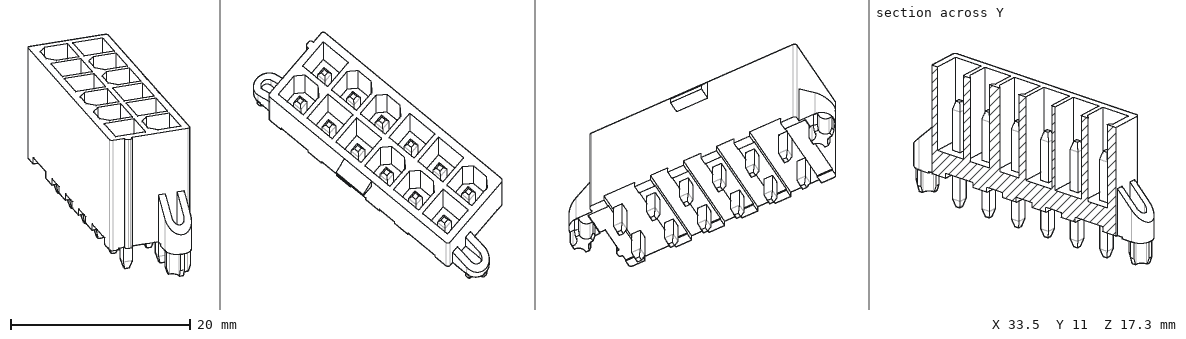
import cadquery as cq
import math

overall_length = 33.45
housing_length = 26.3
housing_depth = 9.57
housing_height = 13.62
corner_radius = 0.35

columns = 6
column_span = 21.0
pitch = column_span / (columns - 1)
column_positions = [i * pitch - column_span / 2 for i in range(columns)]
back_row = pitch / 2
front_row = -pitch / 2

cavity_length = 3.65
cavity_depth = 3.58
cavity_floor = 3.35
cavity_offset_y = 0.05
key_cut = 0.87
keyed_columns = {back_row: (1, 2, 5), front_row: (0, 3, 4)}

pin_width = 1.1
pin_tip_width = 0.55
pin_taper = 1.0
pin_top = 9.37
pin_bottom = -3.65
pin_offset_y = 0.2

notch_height = 0.8
notch_half_span = 11.2
pad_width = 2.0
channel_height = 0.2
channel_depth = 7.55
channel_length = 27.65

ear_width = 3.08
ear_radius = ear_width / 2
ear_y = 2.48
ear_x = overall_length / 2 - ear_radius
ear_outer_height = 2.4
ear_slot_width = 1.4
ear_slot_floor = notch_height
peg_radius = 1.47
peg_length = 2.85
peg_rib_width = 0.5
peg_flute_radius = 0.85
peg_tip_inset = 0.27
peg_tip_height = 0.85

latch_width = 3.95
latch_reach = 1.45
latch_bottom = 10.57
latch_lip_top = 11.25

rib_y = -2.68
rib_width = 0.87
rib_reach = 0.45
rib_rounding = 0.3


def centred_box(length, depth, bottom, top, x=0.0, y=0.0):
    """Box centred on (x, y) and spanning bottom to top in Z."""
    box = cq.Workplane("XY", origin=(x, y, bottom))
    return box.rect(length, depth).extrude(top - bottom)


def make_housing():
    housing = centred_box(housing_length, housing_depth, 0, housing_height)
    return housing.edges("|Z").fillet(corner_radius)


def make_cavity(x, y, keyed):
    cavity = centred_box(cavity_length, cavity_depth, cavity_floor, housing_height, x, y)
    if keyed:
        cavity = cavity.faces("<Y").edges("|Z").chamfer(key_cut)
    return cavity


def make_pin_end(x, y, z, direction):
    """Tapered pin end starting at height z; direction is +1 upward, -1 downward."""
    end = cq.Workplane("XY", origin=(x, y, z)).rect(pin_width, pin_width)
    end = end.workplane(offset=direction * pin_taper)
    return end.rect(pin_tip_width, pin_tip_width).loft(ruled=True)


def make_pin(x, y):
    shank_bottom = pin_bottom + pin_taper
    shank_top = pin_top - pin_taper
    shank = centred_box(pin_width, pin_width, shank_bottom, shank_top, x, y)
    return shank.union(make_pin_end(x, y, shank_bottom, -1)).union(make_pin_end(x, y, shank_top, 1))


def make_underside_relief():
    """Notches running front to back between the pads, and a shallow channel along X."""
    relief = centred_box(2 * notch_half_span, housing_depth, 0, notch_height)
    for x in column_positions[1:-1]:
        relief = relief.cut(centred_box(pad_width, housing_depth, 0, notch_height, x))
    return relief.union(centred_box(channel_length, channel_depth, 0, channel_height))


def make_peg():
    """Right-hand peg: a cross of four ribs joined by concave flutes, tapered at the tip."""
    straight_length = peg_length - peg_tip_height
    peg = cq.Workplane("XY", origin=(ear_x, ear_y, 0)).circle(peg_radius).extrude(-straight_length)
    tip = cq.Workplane("XY", origin=(ear_x, ear_y, -straight_length)).circle(peg_radius)
    tip = tip.workplane(offset=-peg_tip_height).circle(peg_radius - peg_tip_inset).loft()
    peg = peg.union(tip)

    rib_side = peg_rib_width / 2
    arc_end = rib_side + peg_flute_radius
    arc_middle = arc_end - peg_flute_radius * math.sqrt(0.5)
    outside = 2 * peg_radius
    flute = (
        cq.Workplane("XY")
        .moveTo(rib_side, outside)
        .lineTo(rib_side, arc_end)
        .threePointArc((arc_middle, arc_middle), (arc_end, rib_side))
        .lineTo(outside, rib_side)
        .lineTo(outside, outside)
        .close()
        .extrude(-peg_length)
    )
    for quarter in range(4):
        turned = flute.rotate((0, 0, 0), (0, 0, 1), 90 * quarter)
        peg = peg.cut(turned.translate((ear_x, ear_y, 0)))
    return peg


def make_ear_prism(width, bottom, top):
    """Prism from the right end face of the housing, with a full-round outer end."""
    inner_x = housing_length / 2
    straight = centred_box(ear_x - inner_x, width, bottom, top, (inner_x + ear_x) / 2, ear_y)
    round_end = cq.Workplane("XY", origin=(ear_x, ear_y, bottom)).circle(width / 2).extrude(top - bottom)
    return straight.union(round_end)


def make_ear():
    """Right-hand ear with a 45 degree sloping top, an open slot and a peg below."""
    outer_x = overall_length / 2
    inner_x = housing_length / 2
    ear_inner_height = ear_outer_height + outer_x - inner_x
    side_profile = (
        cq.Workplane("XZ", origin=(0, ear_y, 0))
        .polyline([(inner_x, 0), (outer_x, 0), (outer_x, ear_outer_height), (inner_x, ear_inner_height)])
        .close()
        .extrude(ear_radius, both=True)
    )
    ear = make_ear_prism(ear_width, 0, ear_inner_height).intersect(side_profile)
    ear = ear.cut(make_ear_prism(ear_slot_width, ear_slot_floor, ear_inner_height))
    return ear.union(make_peg())


def make_latch():
    back_y = housing_depth / 2
    tip_y = back_y + latch_reach
    profile = [(back_y, latch_bottom), (tip_y, latch_bottom), (tip_y, latch_lip_top), (back_y, housing_height)]
    return cq.Workplane("YZ").polyline(profile).close().extrude(latch_width / 2, both=True)


def make_polarising_rib():
    x = (housing_length + rib_reach) / 2
    rib = centred_box(rib_reach, rib_width, 0, housing_height, x, rib_y)
    return rib.faces(">X").edges("|Z").fillet(rib_rounding)


right_ear = make_ear()
result = make_housing().union(right_ear).union(right_ear.mirror("YZ"))
result = result.union(make_latch()).union(make_polarising_rib())
result = result.cut(make_underside_relief())
for row_y in (back_row, front_row):
    for column, column_x in enumerate(column_positions):
        is_keyed = column in keyed_columns[row_y]
        result = result.cut(make_cavity(column_x, row_y + cavity_offset_y, is_keyed))
        result = result.union(make_pin(column_x, row_y + pin_offset_y))